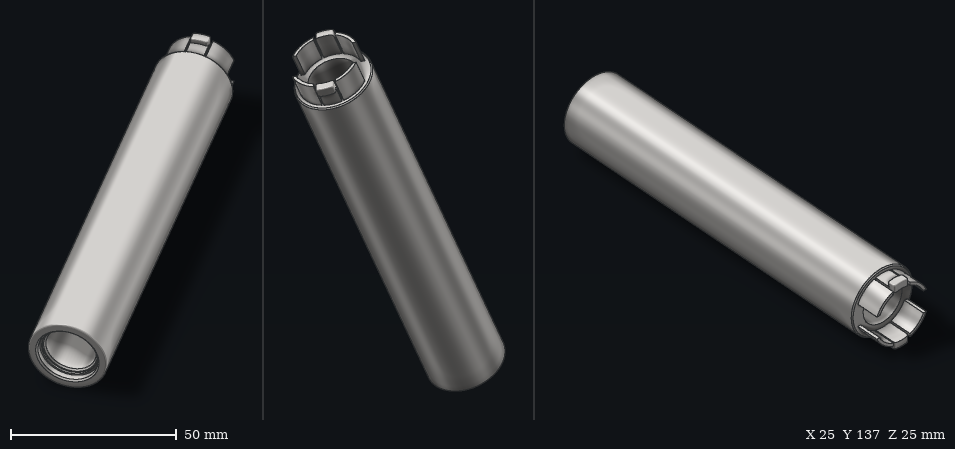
import cadquery as cq

overall_length = 137.0
outer_radius = 12.5
bore_radius = 8.0
front_y = -overall_length / 2
back_y = overall_length / 2

tab_length = 8.5
tab_outer_radius = 11.0
tab_inner_radius = 9.9
side_gap_half_height = 4.2
shoulder_y = back_y - tab_length

tongue_half_width = 2.9
slot_width = 0.5
catch_length = 3.2
tip_fillet = 0.8
catch_rim_fillet = 0.4

front_fillet = 0.5
shoulder_chamfer = 0.4

counterbore_radius = 9.5
counterbore_depth = 2.5
entry_chamfer = 0.5
seat_radius = 8.9
seat_depth = 0.7
bore_chamfer = 0.5


def cylinder(radius, start_y, length):
    """Cylinder along +Y starting at start_y."""
    return cq.Workplane("XZ", origin=(0, start_y, 0)).circle(radius).extrude(-length)


def box_between(half_width, half_height, start_y, end_y):
    """Box centred on the tube axis, spanning start_y to end_y."""
    middle_y = (start_y + end_y) / 2
    box = cq.Workplane("XY").box(2 * half_width, end_y - start_y, 2 * half_height)
    return box.translate((0, middle_y, 0))


def make_body():
    """Plain tube with a rounded front edge and a chamfered shoulder."""
    body = cylinder(outer_radius, front_y, overall_length - tab_length)
    body = body.faces("<Y").fillet(front_fillet)
    body = body.faces(">Y").chamfer(shoulder_chamfer)
    return body.cut(cylinder(bore_radius, front_y, overall_length))


def cut_front_socket(body):
    """Counterbore with a chamfered mouth and a shallow seat leading to the bevelled bore."""
    mouth_radius = counterbore_radius + entry_chamfer
    floor_y = front_y + counterbore_depth
    seat_y = floor_y + seat_depth
    profile = [
        (0, front_y),
        (mouth_radius, front_y),
        (counterbore_radius, front_y + entry_chamfer),
        (counterbore_radius, floor_y),
        (seat_radius, floor_y),
        (seat_radius, seat_y),
        (bore_radius + bore_chamfer, seat_y),
        (bore_radius, seat_y + bore_chamfer),
        (0, seat_y + bore_chamfer),
    ]
    socket = cq.Workplane("XY").polyline(profile).close()
    return body.cut(socket.revolve(360, (0, 0, 0), (0, 1, 0)))


def make_tabs():
    """Thin ring split into upper and lower groups of three fingers."""
    ring = cylinder(tab_outer_radius, shoulder_y, tab_length)
    ring = ring.cut(cylinder(tab_inner_radius, shoulder_y, tab_length))
    ring = ring.cut(box_between(outer_radius, side_gap_half_height, shoulder_y, back_y))
    slot_half_width = tongue_half_width + slot_width
    slots = box_between(slot_half_width, outer_radius, shoulder_y, back_y)
    tongue = box_between(tongue_half_width, outer_radius, shoulder_y, back_y)
    tongue = tongue.faces(">Y").edges("|Z").fillet(tip_fillet)
    slots = slots.cut(tongue)
    return ring.cut(slots)


def make_catch():
    """Raised catch at the tip of the upper tongue, with rounded corners in plan and a rounded outer rim."""
    catch_start_y = back_y - catch_length
    blank = box_between(tongue_half_width, outer_radius, catch_start_y, back_y)
    blank = blank.edges("|Z").fillet(tip_fillet)
    shell = cylinder(outer_radius, catch_start_y, catch_length)
    shell = shell.cut(cylinder(tab_inner_radius, catch_start_y, catch_length))
    upper_half = cq.Workplane("XY").box(
        2 * outer_radius, overall_length, outer_radius, centered=(True, True, False)
    )
    catch = blank.intersect(shell).intersect(upper_half)
    outer_face_point = (0, back_y - catch_length / 2, outer_radius)
    outer_face = catch.faces(cq.selectors.NearestToPointSelector(outer_face_point))
    return outer_face.edges().fillet(catch_rim_fillet)


upper_catch = make_catch()
lower_catch = upper_catch.mirror("XY")
result = cut_front_socket(make_body()).union(make_tabs()).union(upper_catch).union(lower_catch)